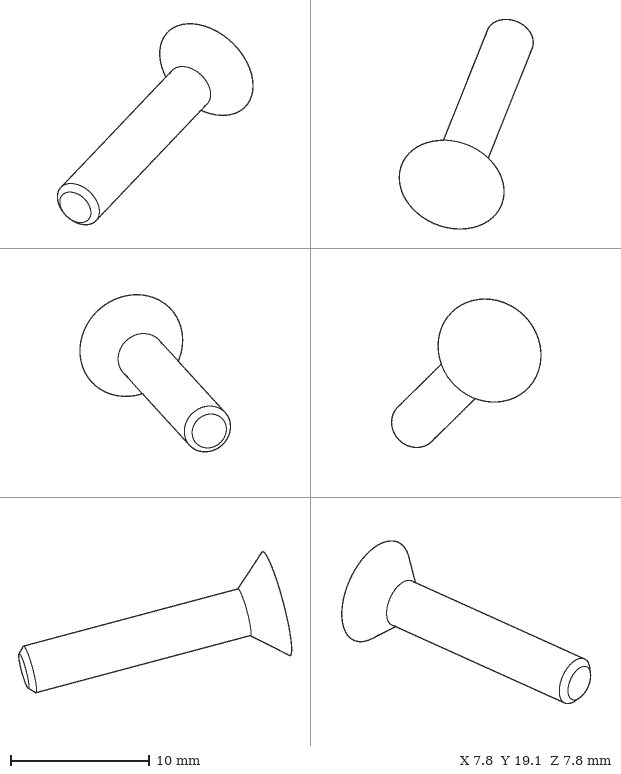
import cadquery as cq

length = 19.05
head_diameter = 7.8
head_height = 2.44
shank_diameter = 3.5
tip_diameter = 2.6
tip_chamfer_length = 0.44

head_radius = head_diameter / 2
shank_radius = shank_diameter / 2
tip_radius = tip_diameter / 2

result = (
    cq.Workplane("XY")
    .moveTo(0, 0)
    .lineTo(head_radius, 0)
    .lineTo(shank_radius, -head_height)
    .lineTo(shank_radius, -length + tip_chamfer_length)
    .lineTo(tip_radius, -length)
    .lineTo(0, -length)
    .close()
    .revolve(360, (0, 0, 0), (0, 1, 0))
)